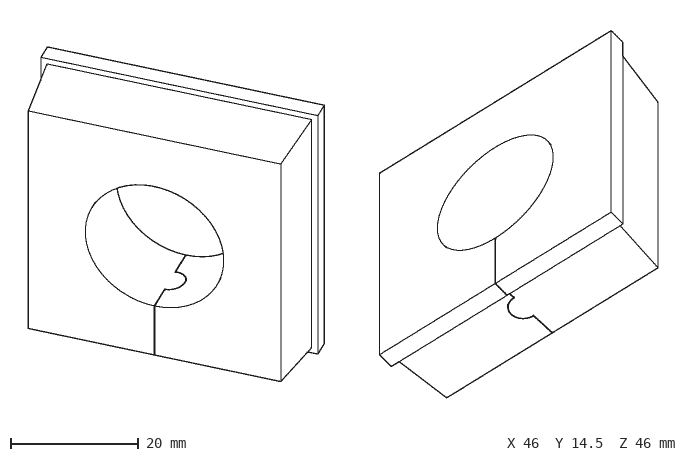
import cadquery as cq

side = 46.0
depth = 14.5
flange_thickness = 3.0
shoulder = 1.0
front_inset = 2.02
bore_diameter = 23.0

slit_width = 0.1
key_radius = 2.5

front_y = -depth / 2
back_y = depth / 2
flange_y = back_y - flange_thickness
body_depth = depth - flange_thickness
front_side = side - 2 * front_inset
root_side = side - 2 * shoulder


def make_flange():
    return cq.Workplane("XY").box(side, flange_thickness, side).translate(
        (0, flange_y + flange_thickness / 2, 0)
    )


def make_tapered_body():
    return (
        cq.Workplane("XZ", origin=(0, flange_y, 0))
        .rect(root_side, root_side)
        .workplane(offset=body_depth)
        .rect(front_side, front_side)
        .loft(ruled=True)
    )


def make_bore():
    return cq.Workplane("XZ", origin=(0, back_y, 0)).circle(bore_diameter / 2).extrude(depth)


def make_slit():
    half_width = slit_width / 2
    outer_radius = key_radius + half_width
    inner_radius = key_radius - half_width
    outline = (
        cq.Workplane("XY")
        .moveTo(half_width, front_y)
        .lineTo(half_width, -outer_radius)
        .threePointArc((outer_radius, 0), (half_width, outer_radius))
        .lineTo(half_width, back_y)
        .lineTo(-half_width, back_y)
        .lineTo(-half_width, inner_radius)
        .lineTo(0, inner_radius)
        .threePointArc((inner_radius, 0), (0, -inner_radius))
        .lineTo(-half_width, -inner_radius)
        .lineTo(-half_width, front_y)
        .close()
    )
    return outline.extrude(-side / 2)


result = make_flange().union(make_tapered_body()).cut(make_bore()).cut(make_slit())